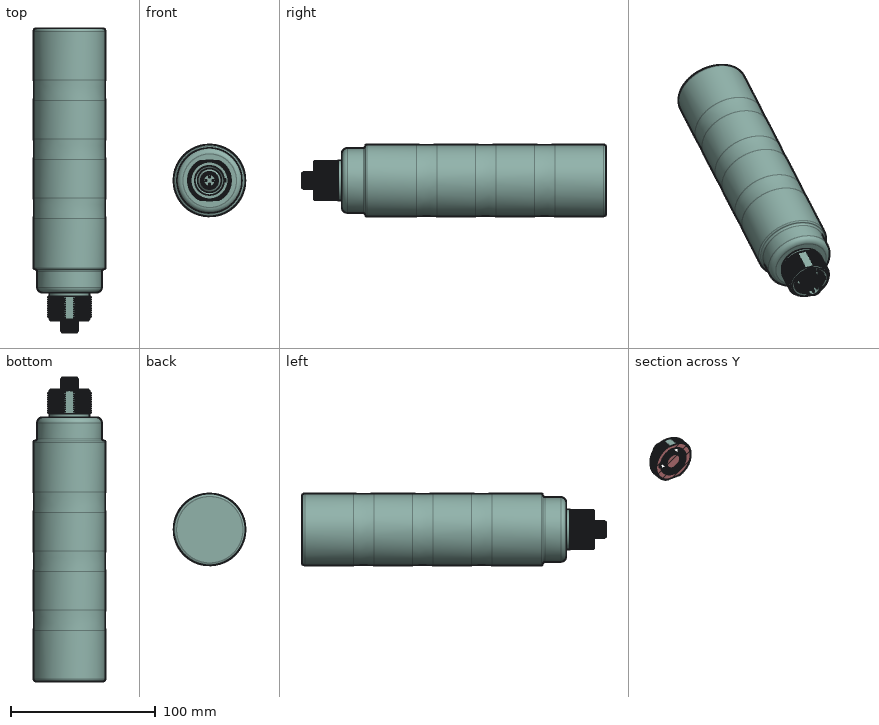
import cadquery as cq
import math

total_length = 210.5

body_radius = 24.95
body_front = 43.8
back_fillet = 2.0
front_fillet = 1.0
waist_length = 14.1
waist_depth = 0.2
waist_pitch = 40.8
first_waist_start = 79.2
waist_count = 3

base_radius = 22.5
base_front = 27.5
base_fillet = 4.0

collar_radius = 15.0
collar_front = 8.5
collar_pitch = 1.5
collar_ridge_count = 10
collar_thread_depth = 0.93
collar_lead_length = 2.0
collar_chamfer = 1.0
flat_height = 13.7
collar_core_radius = collar_radius - collar_thread_depth

bore_radius = 11.0
bore_thread_depth = 0.8
bore_ridge_count = 7
bore_floor_radius = 8.2
keyway_width = 1.7
keyway_reach = 11.4
bore_minor_radius = bore_radius - bore_thread_depth
funnel_start = collar_front + bore_ridge_count * collar_pitch
bore_end = funnel_start + bore_minor_radius - bore_floor_radius

plug_radius = 6.0
plug_pitch = 1.0
plug_ridge_count = 18
plug_thread_depth = 0.6
plug_lead_length = 0.8
plug_chamfer = 0.5
socket_radius = 4.2
socket_depth = 6.3
plug_core_radius = plug_radius - plug_thread_depth

pin_radius = 0.5
pin_length = 5.3
pin_circle_radius = 2.5
pin_count = 4

overlap = 0.6


def turned(outline):
    """Solid of revolution about the Y axis from a closed outline."""
    return outline.close().revolve(360, (0, 0, 0), (0, 1, 0))


def rod(radius, start, end):
    """Cylinder on the Y axis between two Y positions."""
    return cq.Workplane("XZ", origin=(0, start, 0)).circle(radius).extrude(start - end)


def cone(start_radius, end_radius, start, end):
    """Tapered rod on the Y axis between two Y positions."""
    outline = cq.Workplane("XY").moveTo(0, start).lineTo(start_radius, start)
    return turned(outline.lineTo(end_radius, end).lineTo(0, end))


def ridged_rod(crest_radius, depth, pitch, start, ridge_count):
    """Rod with V-shaped ridges along its whole length."""
    root_radius = crest_radius - depth
    outline = cq.Workplane("XY").moveTo(0, start).lineTo(root_radius, start)
    for index in range(ridge_count):
        ridge_start = start + index * pitch
        outline = outline.lineTo(crest_radius, ridge_start + pitch / 2)
        outline = outline.lineTo(root_radius, ridge_start + pitch)
    return turned(outline.lineTo(0, start + ridge_count * pitch))


def make_body():
    """Body and base as one turned shape."""
    step_fillet = body_radius - front_fillet - base_radius

    mid_inset = 1 - math.sqrt(0.5)
    front_arc_mid = mid_inset * front_fillet
    step_arc_mid = mid_inset * step_fillet
    base_arc_mid = mid_inset * base_fillet
    back_arc_mid = mid_inset * back_fillet

    outline = (
        cq.Workplane("XY")
        .moveTo(0, base_front)
        .lineTo(base_radius - base_fillet, base_front)
        .threePointArc(
            (base_radius - base_arc_mid, base_front + base_arc_mid),
            (base_radius, base_front + base_fillet),
        )
        .lineTo(base_radius, body_front - step_fillet)
        .threePointArc(
            (base_radius + step_arc_mid, body_front - step_arc_mid),
            (base_radius + step_fillet, body_front),
        )
        .threePointArc(
            (body_radius - front_arc_mid, body_front + front_arc_mid),
            (body_radius, body_front + front_fillet),
        )
    )
    for index in range(waist_count):
        start = first_waist_start + index * waist_pitch
        outline = outline.lineTo(body_radius, start).threePointArc(
            (body_radius - waist_depth, start + waist_length / 2),
            (body_radius, start + waist_length),
        )
    outline = (
        outline.lineTo(body_radius, total_length - back_fillet)
        .threePointArc(
            (body_radius - back_arc_mid, total_length - back_arc_mid),
            (body_radius - back_fillet, total_length),
        )
        .lineTo(0, total_length)
    )
    return turned(outline)


def make_collar():
    """Threaded collar with plain ends and two flats, hollowed by a keyed, threaded bore."""
    core = rod(collar_core_radius, collar_front, base_front + overlap)
    core = core.faces("<Y").chamfer(collar_chamfer)
    ridges = ridged_rod(
        collar_radius,
        collar_thread_depth,
        collar_pitch,
        collar_front + collar_lead_length,
        collar_ridge_count,
    )
    flats = cq.Workplane("XY").box(2 * collar_radius, 2 * base_front, 2 * flat_height)
    collar = core.union(ridges).intersect(flats)

    neck_start = collar_front + collar_lead_length + collar_ridge_count * collar_pitch
    collar = collar.union(rod(collar_core_radius, neck_start, base_front + overlap))

    bore = ridged_rod(
        bore_radius, bore_thread_depth, collar_pitch, collar_front, bore_ridge_count
    )
    funnel = cone(bore_minor_radius, bore_floor_radius, funnel_start, bore_end)
    keyway = (
        cq.Workplane("XY", origin=(0, collar_front, 0))
        .box(
            keyway_reach,
            funnel_start - collar_front,
            keyway_width,
            centered=(False, False, True),
        )
    )
    return collar.cut(bore).cut(funnel).cut(keyway)


def make_plug():
    """Threaded plug with a cone at its foot, an open socket and contact pins."""
    plug = rod(plug_core_radius, 0, bore_end + overlap).faces("<Y").chamfer(plug_chamfer)
    plug = plug.union(
        ridged_rod(
            plug_radius, plug_thread_depth, plug_pitch, plug_lead_length, plug_ridge_count
        )
    )
    foot_start = bore_end - (bore_floor_radius - plug_radius)
    plug = plug.union(cone(plug_radius, bore_floor_radius, foot_start, bore_end))
    plug = plug.cut(rod(socket_radius, 0, socket_depth))

    pin = rod(pin_radius, socket_depth - pin_length, socket_depth + overlap)
    for index in range(pin_count):
        angle = index * 2 * math.pi / pin_count
        pin_x = pin_circle_radius * math.cos(angle)
        pin_z = pin_circle_radius * math.sin(angle)
        plug = plug.union(pin.translate((pin_x, 0, pin_z)))
    return plug


result = make_body().union(make_collar()).union(make_plug())